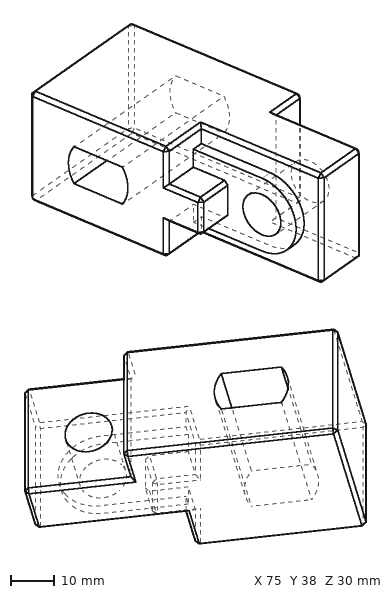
import cadquery as cq

total_length = 75.0
total_depth = 38.0
height = 30.0
edge_chamfer = 1.0

body_length = 50.0
front_step_x = 40.0
tongue_front_y = 13.0
tongue_thickness = 15.0
tongue_back_y = tongue_front_y + tongue_thickness
nib_height = 10.1

pad_thickness = 3.0
pad_radius = 10.0
pin_hole_diameter = 11.0
pin_hole_x = 59.9

slot_center_x = 20.0
slot_diameter = 17.3
slot_height = 10.1


def block(x_start, x_end, y_start, y_end, block_height):
    """Box between the given X and Y limits, centred on Z = 0."""
    length = x_end - x_start
    depth = y_end - y_start
    return (
        cq.Workplane("XY")
        .box(length, depth, block_height, centered=(False, False, True))
        .translate((x_start, y_start, 0))
    )


def cylinder_along_y(center_x, diameter, y_start, y_end):
    """Cylinder parallel to Y between the given limits, at mid-height."""
    return (
        cq.Workplane("XZ", origin=(center_x, y_start, 0))
        .circle(diameter / 2)
        .extrude(y_start - y_end)
    )


def make_body():
    """Main block with tongue and nib, chamfered on every outward edge."""
    body = block(0, front_step_x, 0, total_depth, height)
    body = body.union(block(front_step_x, body_length, tongue_front_y, total_depth, height))
    body = body.union(block(front_step_x, total_length, tongue_front_y, tongue_back_y, height))
    body = body.union(block(front_step_x, body_length, 0, tongue_front_y, nib_height))
    body = body.clean()

    outer_edges = body.faces("<X or >X or <Y or >Y or <Z or >Z").edges()
    nib_tip = cq.selectors.BoxSelector(
        (body_length - edge_chamfer, 0, -nib_height),
        (body_length + edge_chamfer, tongue_front_y, nib_height),
    )
    nib_tip_edges = body.edges("|Y").edges(nib_tip)
    return outer_edges.add(nib_tip_edges).chamfer(edge_chamfer)


def make_pad():
    """Raised round-ended pad on the front face of the tongue."""
    pad_front_y = tongue_front_y - pad_thickness
    straight = block(front_step_x, pin_hole_x, pad_front_y, tongue_front_y, 2 * pad_radius)
    round_end = cylinder_along_y(pin_hole_x, 2 * pad_radius, pad_front_y, tongue_front_y)
    return straight.union(round_end)


def make_slot():
    """Round through-hole flattened at the top and bottom."""
    round_hole = cylinder_along_y(slot_center_x, slot_diameter, 0, total_depth)
    slot_radius = slot_diameter / 2
    flats = block(
        slot_center_x - slot_radius, slot_center_x + slot_radius, 0, total_depth, slot_height
    )
    return round_hole.intersect(flats)


pin_hole = cylinder_along_y(pin_hole_x, pin_hole_diameter, 0, total_depth)

result = make_body().union(make_pad()).cut(make_slot()).cut(pin_hole)